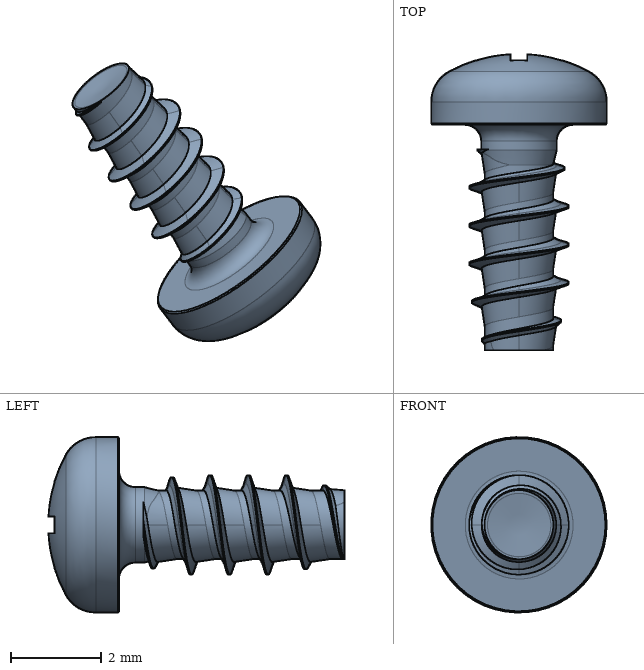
import cadquery as cq
import math


head_diameter = 3.9
head_radius = head_diameter / 2
head_height = 1.57
head_edge_chamfer = 0.03
head_rim_height = 0.52
dome_edge_radius = 1.545
dome_edge_height = 1.19

wing_width = 0.37
wing_reach = 0.955
wing_floor_reach = 0.295
recess_depth = 0.855
recess_clearance = 0.065

overall_length = 6.58
shank_length = overall_length - head_height
neck_radius = 0.84
neck_fillet = 0.355
neck_length = 0.55
neck_cone_length = 0.33
core_radius = 0.76
tip_allowance = 0.395
dish_radius = 0.705
dish_depth = 0.065

pitch = 0.85
thread_start_z = -0.11
thread_top = 0.54
segment_turns = 0.25
segment_count = 25
points_per_segment = 8
crest_radius = 1.105
run_in_turns = 1.5
run_in_start_radius = 0.835
run_out_turns = 1.5
run_out_end_turn = 5.75
run_out_end_radius = 0.76

crest_half_width = 0.0165
head_flank = [(0.065, 0.185), (0.185, 0.41)]
swell_start_offset = -0.105
swell_start_radius = 0.83
swell_end_offset = -0.58
swell_end_radius = 0.755
swell_margin = 0.08

recess_corner_radius = wing_width / math.sqrt(2)
corner_rise = head_height - dome_edge_height
dome_centre_drop = (dome_edge_radius**2 - recess_corner_radius**2 - corner_rise**2) / (2 * corner_rise)
dome_radius = math.hypot(dome_edge_radius, dome_centre_drop)
dome_centre_height = dome_edge_height - dome_centre_drop
dome_apex = dome_centre_height + dome_radius


def dome_height(radius):
    """Height of the dome above the bearing face at a distance from the axis."""
    return dome_centre_height + math.sqrt(dome_radius**2 - radius**2)


def make_blank():
    """Turned body: head, neck and plain core."""
    mid_radius = dome_edge_radius / 2
    fillet_mid = neck_fillet * (1 - math.sqrt(0.5))
    outline = (
        cq.Workplane("XZ")
        .moveTo(0, -shank_length - tip_allowance)
        .lineTo(core_radius, -shank_length - tip_allowance)
        .lineTo(core_radius, -neck_length - neck_cone_length)
        .lineTo(neck_radius, -neck_length)
        .lineTo(neck_radius, -neck_fillet)
        .threePointArc((neck_radius + fillet_mid, -fillet_mid), (neck_radius + neck_fillet, 0))
        .lineTo(head_radius - head_edge_chamfer, 0)
        .lineTo(head_radius, head_edge_chamfer)
        .lineTo(head_radius, head_rim_height)
        .tangentArcPoint((dome_edge_radius, dome_edge_height), relative=False)
        .threePointArc((mid_radius, dome_height(mid_radius)), (0, dome_apex))
        .close()
    )
    return outline.revolve(360, (0, 0, 0), (0, 1, 0))


def make_recess():
    """Cross recess: two wings with sloping ends, crossing on the axis."""
    floor = dome_apex - recess_depth
    rim = dome_height(wing_reach)
    slope = (wing_reach - wing_floor_reach) / (rim - floor)
    top = dome_apex + recess_clearance
    top_reach = wing_reach + slope * (top - rim)
    wing = (
        cq.Workplane("XZ")
        .moveTo(-wing_floor_reach, floor)
        .lineTo(wing_floor_reach, floor)
        .lineTo(top_reach, top)
        .lineTo(-top_reach, top)
        .close()
        .extrude(wing_width / 2, both=True)
    )
    return wing.union(wing.rotate((0, 0, 0), (0, 0, 1), 90))


def crest_at(turn):
    """Crest radius after so many turns: it rises at the head end and sinks at the tip."""
    run_in = run_in_start_radius + (crest_radius - run_in_start_radius) * turn / run_in_turns
    remaining = run_out_end_turn - turn
    run_out = run_out_end_radius + (crest_radius - run_out_end_radius) * remaining / run_out_turns
    return min(crest_radius, run_in, run_out)


def helix_edge(radius_at, offset, start_turn):
    """One segment of a helical edge, at an axial offset from the crest centre."""
    points = []
    for step in range(points_per_segment + 1):
        turn = start_turn + segment_turns * step / points_per_segment
        angle = -2 * math.pi * turn
        radius = radius_at(turn)
        height = thread_start_z - pitch * turn + offset
        points.append(cq.Vector(radius * math.cos(angle), radius * math.sin(angle), height))
    return cq.Edge.makeSpline(points)


def thread_edges(start_turn):
    """Edges of one thread segment, in order around the section."""
    corners = [(crest_half_width, crest_at)]
    for offset, depth in head_flank:
        corners.append((offset, lambda turn, d=depth: crest_at(turn) - d))
    corners.append((swell_end_offset, lambda turn: swell_end_radius))
    corners.append((swell_start_offset, lambda turn: min(swell_start_radius, crest_at(turn) - swell_margin)))
    corners.append((-crest_half_width, crest_at))
    return [helix_edge(radius_at, offset, start_turn) for offset, radius_at in corners]


def end_face(edges, end):
    """Flat face across the section at one end of the edges (0 is the start, 1 the finish)."""
    return cq.Face.makeFromWires(cq.Wire.makePolygon([edge.positionAt(end) for edge in edges], close=True))


def make_thread():
    """Ridge together with the swelling of the core that tapers away on its tip side."""
    segments = [thread_edges(index * segment_turns) for index in range(segment_count)]
    faces = [end_face(segments[0], 0), end_face(segments[-1], 1)]
    for edges in segments:
        neighbours = edges[1:] + edges[:1]
        faces += [cq.Face.makeRuledSurface(edge, neighbour) for edge, neighbour in zip(edges, neighbours)]
    return cq.Workplane(cq.Solid.makeSolid(cq.Shell.makeShell(faces)).fix())


def make_tip_cutter():
    """Tool that cuts the shank to length and leaves a shallow conical dish in its end."""
    cutter_radius = 2 * core_radius
    cutter_end = -shank_length - 4 * tip_allowance
    return (
        cq.Workplane("XZ")
        .polyline(
            [
                (0, -shank_length + dish_depth),
                (dish_radius, -shank_length),
                (cutter_radius, -shank_length),
                (cutter_radius, cutter_end),
                (0, cutter_end),
            ]
        )
        .close()
        .revolve(360, (0, 0, 0), (0, 1, 0))
    )


def make_thread_trimmer():
    """Cylinder that removes the thread above the plane where it starts."""
    return cq.Workplane("XY").workplane(offset=-thread_top).circle(2 * crest_radius).extrude(2 * thread_top)


thread = make_thread().cut(make_thread_trimmer(), clean=False)
screw = make_blank().union(thread, clean=False)
screw = screw.cut(make_tip_cutter(), clean=False)
screw = screw.cut(make_recess(), clean=False)
result = screw.rotate((0, 0, 0), (1, 0, 0), -90)